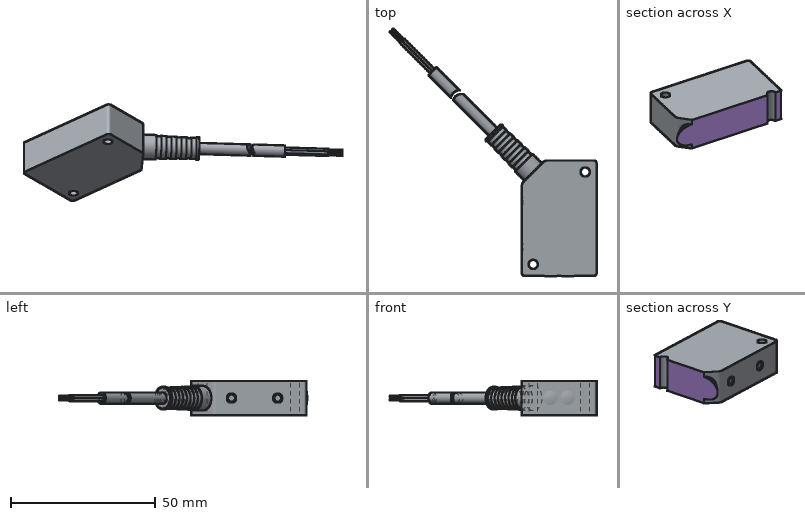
import cadquery as cq
import math

housing_width = 26.0
housing_depth = 40.0
housing_height = 12.0
corner_chamfer = 8.0
corner_radius = 1.0
chamfer_corner_radius = 2.0
top_z = housing_height / 2

mount_hole_diameter = 3.1
mount_hole_inset = 4.0

cover_margin = 0.8
cover_notch_x = 8.0
cover_notch_y = 7.0
label_width = 20.0
label_depth = 22.0
label_centre_x = housing_width / 2
label_centre_y = housing_depth / 2
indicator_diameter = 4.0
indicator_spacing = 10.0
inlay_thickness = 0.5

lens_diameter = 5.0
lens_rise = 0.27
lens_centres_x = (10.0, 16.0)

screw_diameter = 4.8
socket_mouth_diameter = 3.2
socket_diameter = 2.5
socket_mouth_depth = 0.2
socket_depth = 0.4
screw_centres_y = (10.0, 26.0)

boot_base_length = 4.6
boot_base_radius = 4.3
boot_band_length = 1.75
boot_band_pairs = 4
boot_large_radius = 4.1
boot_small_radius = 3.7
boot_groove_depth = 0.25
boot_lip_length = 1.0
boot_lip_radius = 4.0

cable_radius = 2.0
stub_peak = 37.5
stub_left_drop = 0.3
stub_right_drop = 1.3
gap_middle = 1.4
gap_left = 1.1
gap_right = 1.75
cable_end = 49.4
stub_left = stub_peak - stub_left_drop
stub_right = stub_peak - stub_right_drop

wire_diameter = 1.08
wire_pitch = 1.1
wire_length = 15.0
core_diameter = 0.65
core_length = 5.0

cable_root = (corner_chamfer / 2, housing_depth - corner_chamfer / 2, 0)
cable_angle = 135


def place_on_chamfer(part):
    """Move a part from the cable frame to its place on the chamfer face."""
    return part.rotate((0, 0, 0), (0, 0, 1), cable_angle).translate(cable_root)


def rod(start, end, diameter, y=0.0, z=0.0):
    """Round rod along the cable between two distances from the chamfer face."""
    return (
        cq.Workplane("YZ", origin=(start, 0, 0))
        .center(y, z)
        .circle(diameter / 2)
        .extrude(end - start)
    )


def imprint(body, inlay):
    """Join an inlay flush into the body, keeping the seam around it."""
    return body.cut(inlay, clean=False).union(inlay, clean=False)


def housing_block():
    outline = [
        (0, 0),
        (housing_width, 0),
        (housing_width, housing_depth),
        (corner_chamfer, housing_depth),
        (0, housing_depth - corner_chamfer),
    ]
    block = cq.Workplane("XY", origin=(0, 0, -top_z)).polyline(outline).close().extrude(housing_height)
    square_corners = outline[:3]
    chamfer_corners = outline[3:]
    for points, radius in ((square_corners, corner_radius), (chamfer_corners, chamfer_corner_radius)):
        for x, y in points:
            block = block.edges(cq.selectors.NearestToPointSelector((x, y, 0))).fillet(radius)
    mount_points = [
        (mount_hole_inset, mount_hole_inset),
        (housing_width - mount_hole_inset, housing_depth - mount_hole_inset),
    ]
    holes = (
        cq.Workplane("XY", origin=(0, 0, -top_z))
        .pushPoints(mount_points)
        .circle(mount_hole_diameter / 2)
        .extrude(housing_height)
    )
    return block.cut(holes)


def add_top_inlays(body):
    left = cover_margin
    right = housing_width - cover_margin
    front = cover_margin
    back = housing_depth - cover_margin
    chamfer_leg = corner_chamfer - (2 - math.sqrt(2)) * cover_margin
    cover_outline = [
        (cover_notch_x, front),
        (right, front),
        (right, housing_depth - cover_notch_y),
        (housing_width - cover_notch_x, housing_depth - cover_notch_y),
        (housing_width - cover_notch_x, back),
        (left + chamfer_leg, back),
        (left, back - chamfer_leg),
        (left, cover_notch_y),
        (cover_notch_x, cover_notch_y),
    ]
    indicator_points = [(-indicator_spacing / 2, 0), (indicator_spacing / 2, 0)]
    cover_floor = cq.Workplane("XY", origin=(0, 0, top_z - inlay_thickness))
    cover = cover_floor.polyline(cover_outline).close().extrude(inlay_thickness)
    label_floor = cq.Workplane("XY", origin=(label_centre_x, label_centre_y, top_z - inlay_thickness))
    label = label_floor.rect(label_width, label_depth).extrude(inlay_thickness)
    indicator_sketch = label_floor.pushPoints(indicator_points).circle(indicator_diameter / 2)
    indicators = indicator_sketch.extrude(inlay_thickness)
    for inlay in (cover, label, indicators):
        body = imprint(body, inlay)
    return body


def lens(x):
    """Spherical cap standing proud of the front face."""
    lens_radius = lens_diameter / 2
    return (
        cq.Workplane("XY", origin=(x, 0, 0))
        .moveTo(0, 0)
        .lineTo(lens_radius, 0)
        .radiusArc((0, -lens_rise), (lens_radius**2 + lens_rise**2) / (2 * lens_rise))
        .close()
        .revolve(360, (0, 0, 0), (0, 1, 0))
    )


def add_screw(body, y):
    """Flush screw head in the left face with a shallow stepped socket."""
    side = cq.Workplane("YZ", origin=(0, y, 0))
    head = side.circle(screw_diameter / 2).extrude(inlay_thickness)
    mouth = side.circle(socket_mouth_diameter / 2).extrude(socket_mouth_depth)
    socket = side.circle(socket_diameter / 2).extrude(socket_depth)
    return imprint(body, head).cut(mouth.union(socket), clean=False)


def boot():
    """Turned boot: plain base, tapered bands parted by round grooves, rounded lip at the end."""
    bands_length = 2 * boot_band_pairs * boot_band_length
    taper = (boot_large_radius - boot_small_radius) / bands_length

    def band_radius(distance):
        return boot_large_radius - taper * (distance - boot_base_length)

    profile = (
        cq.Workplane("XY")
        .lineTo(0, boot_base_radius)
        .lineTo(boot_base_length, boot_base_radius)
        .lineTo(boot_base_length, boot_large_radius)
    )
    for pair in range(boot_band_pairs):
        start = boot_base_length + 2 * pair * boot_band_length
        middle = start + boot_band_length / 2
        groove_end = start + boot_band_length
        band_end = groove_end + boot_band_length
        profile = profile.threePointArc(
            (middle, band_radius(middle) - boot_groove_depth), (groove_end, band_radius(groove_end))
        ).lineTo(band_end, band_radius(band_end))
    lip_start = boot_base_length + bands_length
    lip_end = lip_start + boot_lip_length
    lip_middle = (lip_start + lip_end) / 2
    return (
        profile.threePointArc((lip_middle, boot_lip_radius), (lip_end, boot_small_radius))
        .lineTo(lip_end, 0)
        .close()
        .revolve(360, (0, 0, 0), (1, 0, 0))
    )


def cable_stretch(left, middle, right, far):
    """Upright block from a curved end face across the cable to a far flat face."""
    return (
        cq.Workplane("XY", origin=(0, 0, -cable_radius))
        .moveTo(left, cable_radius)
        .threePointArc((middle, 0), (right, -cable_radius))
        .lineTo(far, -cable_radius)
        .lineTo(far, cable_radius)
        .close()
        .extrude(2 * cable_radius)
    )


def make_sensor():
    """Housing with its boot and the fixed piece of cable."""
    body = housing_block()
    stub_bounds = cable_stretch(stub_left, stub_peak, stub_right, 0)
    stub = rod(0, cable_end, 2 * cable_radius).intersect(stub_bounds)
    body = body.union(place_on_chamfer(boot().union(stub)))
    for x in lens_centres_x:
        body = body.union(lens(x))
    body = add_top_inlays(body)
    for y in screw_centres_y:
        body = add_screw(body, y)
    return body


def make_cable_tail():
    """Loose end of the cable beyond the break, with its four wires."""
    jacket_bounds = cable_stretch(
        stub_left + gap_left, stub_peak + gap_middle, stub_right + gap_right, cable_end
    )
    tail = rod(0, cable_end, 2 * cable_radius).intersect(jacket_bounds)
    insulation_end = cable_end + wire_length
    for y in (-wire_pitch / 2, wire_pitch / 2):
        for z in (-wire_pitch / 2, wire_pitch / 2):
            tail = tail.union(rod(cable_end, insulation_end, wire_diameter, y, z))
            tail = tail.union(rod(insulation_end, insulation_end + core_length, core_diameter, y, z))
    return place_on_chamfer(tail)


sensor = make_sensor()
cable_tail = make_cable_tail()

result = cq.Compound.makeCompound([sensor.val(), cable_tail.val()])